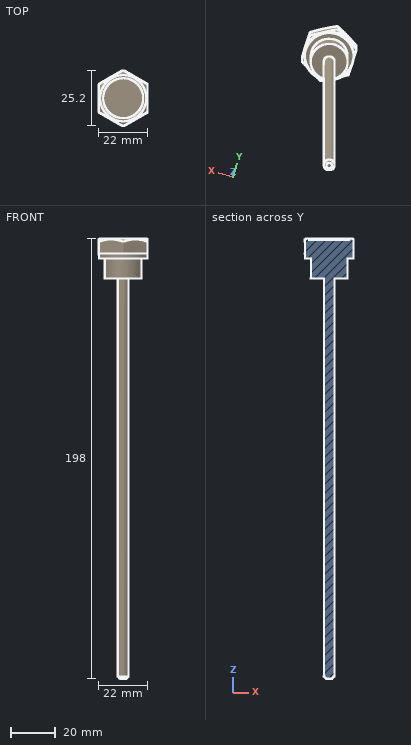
import cadquery as cq
import math

total_length = 198.0
hex_bottom_depth = 6.7
flange_bottom_depth = 9.1
collar_bottom_depth = 18.0

across_flats = 22.0
corner_radius = 0.8
rim_diameter = 20.8
rim_chamfer_height = 1.4
recess_diameter = 18.0
recess_depth = 0.5

flange_diameter = across_flats
collar_diameter = 16.6
rod_diameter = 5.0
tip_chamfer = 1.2


def cylinder(diameter, top_depth, bottom_depth):
    """Round section on the Z axis between two depths below the top."""
    return (
        cq.Workplane("XY")
        .workplane(offset=-bottom_depth)
        .circle(diameter / 2)
        .extrude(bottom_depth - top_depth)
    )


def hex_head():
    """Hexagon with rounded corners, a conical top edge and a shallow recess."""
    across_corners = across_flats / math.cos(math.pi / 6)
    hexagon = (
        cq.Workplane("XY")
        .workplane(offset=-hex_bottom_depth)
        .transformed(rotate=(0, 0, 90))
        .polygon(6, across_corners)
        .extrude(hex_bottom_depth)
        .edges("|Z")
        .fillet(corner_radius)
    )
    corner_reach = across_corners / 2 - corner_radius * (1 / math.cos(math.pi / 6) - 1)
    envelope = (
        cq.Workplane("XZ")
        .moveTo(0, 0)
        .lineTo(rim_diameter / 2, 0)
        .lineTo(corner_reach, -rim_chamfer_height)
        .lineTo(corner_reach, -hex_bottom_depth)
        .lineTo(0, -hex_bottom_depth)
        .close()
        .revolve(360, (0, 0), (0, 1))
    )
    return hexagon.intersect(envelope).cut(cylinder(recess_diameter, 0, recess_depth))


flange = cylinder(flange_diameter, hex_bottom_depth, flange_bottom_depth)
collar = cylinder(collar_diameter, flange_bottom_depth, collar_bottom_depth)
rod = cylinder(rod_diameter, collar_bottom_depth, total_length).faces("<Z").chamfer(tip_chamfer)

result = hex_head().union(flange).union(collar).union(rod)